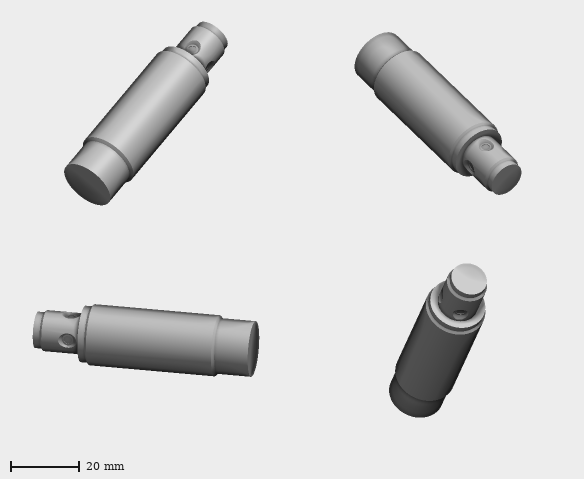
import cadquery as cq

total_length = 65.0
body_radius = 18.0 / 2
nose_radius = 16.4 / 2
collar_radius = 16.65 / 2
neck_radius = 12.1 / 2
tip_radius = 10.7 / 2

nose_length = 10.0
collar_length = 2.0
tip_length = 2.0
neck_end_length = 14.0

front_y = -total_length / 2
back_y = total_length / 2
nose_end_y = front_y + nose_length
collar_back_y = back_y - neck_end_length
collar_front_y = collar_back_y - collar_length
tip_front_y = back_y - tip_length

nose_chamfer = body_radius - nose_radius
collar_chamfer = body_radius - collar_radius
tip_chamfer = neck_radius - tip_radius

hole_count = 4
hole_y = back_y - 10.45
mouth_radius = 2.7
seat_radius = 1.75
bore_radius = 1.25
bore_depth = 0.2
cutter_overlap = 0.65
seat_height = neck_radius - (mouth_radius - seat_radius)


def turned_body():
    """Stepped shaft made by revolving half of its section about Y."""
    outline = [
        (0, front_y),
        (nose_radius, front_y),
        (nose_radius, nose_end_y),
        (body_radius, nose_end_y + nose_chamfer),
        (body_radius, collar_front_y - collar_chamfer),
        (collar_radius, collar_front_y),
        (collar_radius, collar_back_y),
        (neck_radius, collar_back_y),
        (neck_radius, tip_front_y - tip_chamfer),
        (tip_radius, tip_front_y),
        (tip_radius, back_y),
        (0, back_y),
    ]
    return cq.Workplane("XY").polyline(outline).close().revolve(360, (0, 0), (0, 1))


def hole_cutter():
    """Cone with a flat seat and a shallow round bore below it, pointing along +Z."""
    bore_floor = seat_height - bore_depth
    cone_top = neck_radius + cutter_overlap
    section = [
        (0, bore_floor),
        (bore_radius, bore_floor),
        (bore_radius, seat_height),
        (seat_radius, seat_height),
        (mouth_radius + cutter_overlap, cone_top),
        (0, cone_top),
    ]
    cutter = cq.Workplane("XZ").polyline(section).close().revolve(360, (0, 0), (0, 1))
    return cutter.translate((0, hole_y, 0))


result = turned_body()
for index in range(hole_count):
    angle = index * 360 / hole_count
    result = result.cut(hole_cutter().rotate((0, 0, 0), (0, 1, 0), angle))